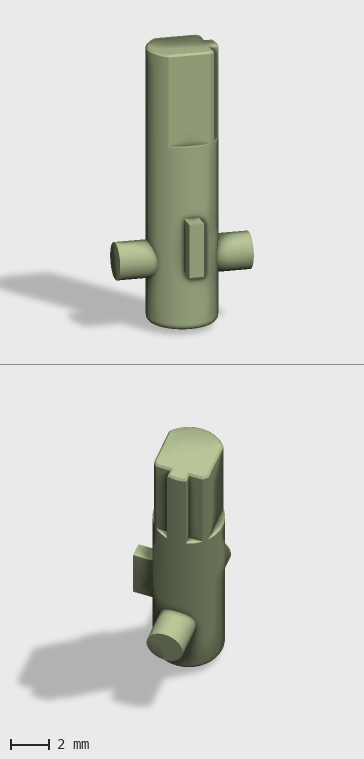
import cadquery as cq
import math

total_height = 15.25
body_diameter = 3.75
body_radius = body_diameter / 2
dome_radius = 5.0
foot_fillet = 0.3

head_length = 5.0
head_width = 3.0
back_flat_y = 1.37
key_width = 1.04
head_chamfer = 0.1

cross_pin_diameter = 2.0
cross_pin_length = 7.15
cross_pin_z = 3.75

fin_reach = 4.8 - body_radius
fin_thickness = 0.8
fin_bottom_z = 3.5
fin_height = 2.9


def make_body():
    """Revolve the half profile of the domed pin, then round the foot edge."""
    dome_edge_z = dome_radius - math.sqrt(dome_radius**2 - body_radius**2)
    half_edge_x = body_radius / 2
    half_edge_z = dome_radius - math.sqrt(dome_radius**2 - half_edge_x**2)
    body = (
        cq.Workplane("XZ")
        .moveTo(0, 0)
        .threePointArc((half_edge_x, half_edge_z), (body_radius, dome_edge_z))
        .lineTo(body_radius, total_height - head_length)
        .lineTo(0, total_height - head_length)
        .close()
        .revolve(360, (0, 0, 0), (0, 1, 0))
    )
    foot_edge = cq.selectors.NearestToPointSelector((0, 0, dome_edge_z))
    return body.edges(foot_edge).fillet(foot_fillet)


def make_head():
    """Round bar with two side flats and a back flat that leaves a central key."""
    base = cq.Workplane("XY").workplane(offset=total_height - head_length)
    head = base.circle(body_radius).extrude(head_length)
    front_depth = body_radius + back_flat_y
    block = base.center(0, back_flat_y - front_depth / 2).rect(head_width, front_depth).extrude(head_length)
    key = base.center(0, body_radius / 2).rect(key_width, body_radius).extrude(head_length)
    head = head.intersect(block.union(key))
    return head.faces(">Z").chamfer(head_chamfer)


def make_cross_pin():
    pin = cq.Workplane("XZ").center(0, cross_pin_z).circle(cross_pin_diameter / 2)
    return pin.extrude(cross_pin_length / 2, both=True)


def make_fin():
    """Rectangular fin reaching from the body axis out to +X."""
    return (
        cq.Workplane("XY")
        .box(fin_reach, fin_thickness, fin_height, centered=(False, True, False))
        .translate((0, 0, fin_bottom_z))
    )


result = make_body().union(make_head()).union(make_cross_pin()).union(make_fin()).clean()